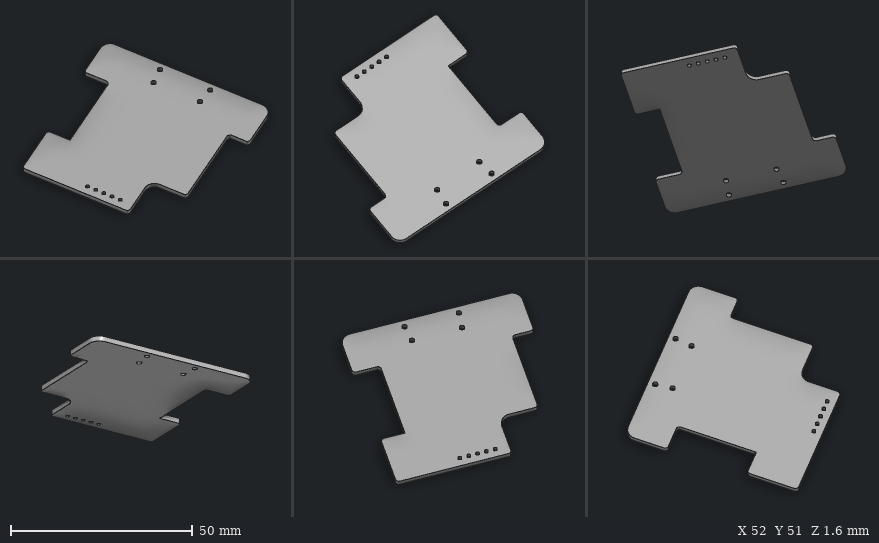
import cadquery as cq

WIDTH = 52.05
HEIGHT = 50.95
THICKNESS = 1.6

HEAD_RIGHT = WIDTH / 2
HEAD_LEFT = -HEAD_RIGHT
WAIST_LEFT = HEAD_LEFT + 7.9
WAIST_RIGHT = HEAD_RIGHT - 6.35
FOOT_LEFT = HEAD_LEFT + 0.9
FOOT_WIDTH = 33.35
FOOT_RIGHT = FOOT_LEFT + FOOT_WIDTH

HEAD_LEFT_LEDGE = 38.25
HEAD_RIGHT_LEDGE = 37.25
FOOT_LEFT_LEDGE = 15.0
FOOT_RIGHT_LEDGE = 12.5

LARGE_RADIUS = 3.0
SMALL_RADIUS = 1.0

MOUNT_DIAMETER = 1.4
UPPER_PAIR_SPACING = 15.65
UPPER_PAIR_Y = HEIGHT - 2.15
LOWER_PAIR_SPACING = 14.45
LOWER_PAIR_Y = UPPER_PAIR_Y - 4.95

PIN_DIAMETER = 1.05
PIN_COUNT = 5
PIN_PITCH = 2.55
PIN_ROW_CENTRE_X = -0.95
PIN_ROW_Y = 2.55


def round_corners(body, corners, radius):
    """Fillet the upright edges that stand at the given corner points."""
    for x, y in corners:
        corner = cq.selectors.NearestToPointSelector((x, y, THICKNESS / 2))
        body = body.edges("|Z").edges(corner).fillet(radius)
    return body


def make_plate():
    """Flat plate with a wide head, a waist and an offset foot."""
    outline = [
        (FOOT_LEFT, 0),
        (FOOT_RIGHT, 0),
        (FOOT_RIGHT, FOOT_RIGHT_LEDGE),
        (WAIST_RIGHT, FOOT_RIGHT_LEDGE),
        (WAIST_RIGHT, HEAD_RIGHT_LEDGE),
        (HEAD_RIGHT, HEAD_RIGHT_LEDGE),
        (HEAD_RIGHT, HEIGHT),
        (HEAD_LEFT, HEIGHT),
        (HEAD_LEFT, HEAD_LEFT_LEDGE),
        (WAIST_LEFT, HEAD_LEFT_LEDGE),
        (WAIST_LEFT, FOOT_LEFT_LEDGE),
        (FOOT_LEFT, FOOT_LEFT_LEDGE),
    ]
    large_corners = [
        (HEAD_LEFT, HEIGHT),
        (HEAD_RIGHT, HEIGHT),
        (FOOT_RIGHT, FOOT_RIGHT_LEDGE),
    ]
    sharp_corners = [(WAIST_LEFT, FOOT_LEFT_LEDGE)]
    small_corners = [point for point in outline if point not in large_corners + sharp_corners]

    plate = cq.Workplane("XY").polyline(outline).close().extrude(THICKNESS)
    plate = round_corners(plate, large_corners, LARGE_RADIUS)
    return round_corners(plate, small_corners, SMALL_RADIUS)


def through_holes(centres, diameter):
    """Cylinders that cut holes through the full thickness."""
    return cq.Workplane("XY").pushPoints(centres).circle(diameter / 2).extrude(THICKNESS)


mount_centres = [
    (side * spacing / 2, y)
    for spacing, y in [(UPPER_PAIR_SPACING, UPPER_PAIR_Y), (LOWER_PAIR_SPACING, LOWER_PAIR_Y)]
    for side in (-1, 1)
]
pin_centres = [
    (PIN_ROW_CENTRE_X + (i - (PIN_COUNT - 1) / 2) * PIN_PITCH, PIN_ROW_Y)
    for i in range(PIN_COUNT)
]

result = (
    make_plate()
    .cut(through_holes(mount_centres, MOUNT_DIAMETER))
    .cut(through_holes(pin_centres, PIN_DIAMETER))
)